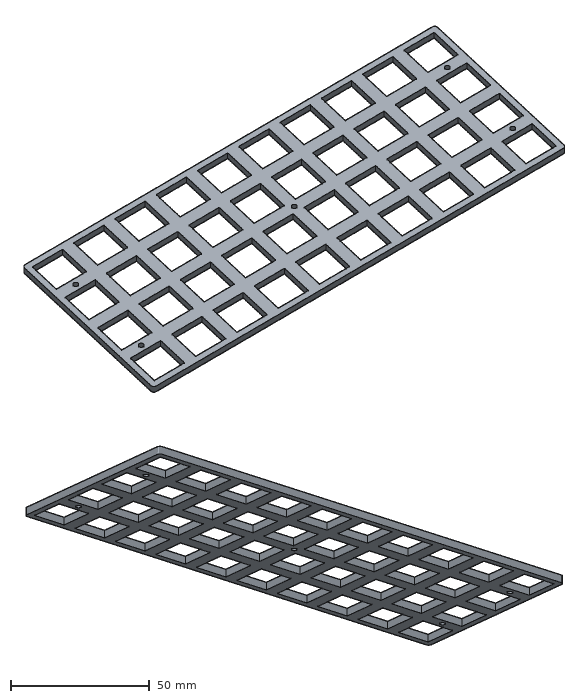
import cadquery as cq

columns = 4
rows = 10
key_pitch = 19.0
plate_width = columns * key_pitch
plate_length = rows * key_pitch
plate_thickness = 3.0
corner_radius = 1.3

opening_side = 13.9

hole_diameter = 2.0
hole_x = plate_width / 2 - key_pitch
hole_y = plate_length / 2 - key_pitch / 2
hole_places = [(0, 0)] + [(sx * hole_x, sy * hole_y) for sx in (-1, 1) for sy in (-1, 1)]


def plate():
    """Flat plate with rounded vertical corners, resting on Z = 0."""
    blank = cq.Workplane("XY").box(
        plate_width, plate_length, plate_thickness, centered=(True, True, False)
    )
    return blank.edges("|Z").fillet(corner_radius)


def switch_openings():
    """Grid of square prisms that pass through the plate."""
    grid = cq.Workplane("XY").rarray(key_pitch, key_pitch, columns, rows)
    return grid.rect(opening_side, opening_side).extrude(plate_thickness)


def screw_holes():
    """Round cutters that pass through the plate."""
    return cq.Workplane("XY").pushPoints(hole_places).circle(hole_diameter / 2).extrude(plate_thickness)


result = plate().cut(switch_openings()).cut(screw_holes())